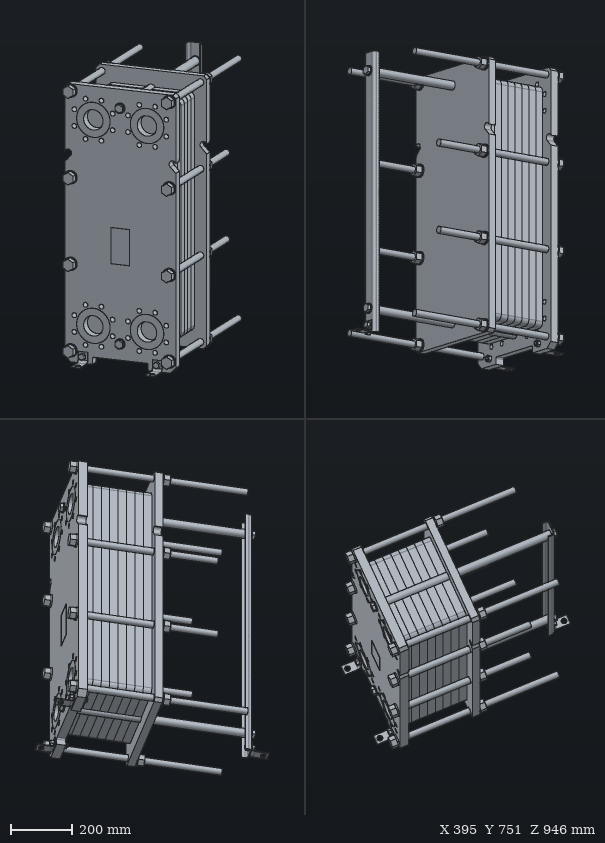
import cadquery as cq
import math

frame_thickness = 31.0
plate_count = 8
plate_thickness = 28.0
pack_front = frame_thickness
pack_back = pack_front + plate_count * plate_thickness
pressure_thickness = 27.0
pressure_back = pack_back + pressure_thickness
column_depth = 24.0
column_back = 629.0

overall_height = 946.0
end_plate_width = 395.0
half_width = end_plate_width / 2
pressure_bottom = 18.0
middle_z = (overall_height + pressure_bottom) / 2
top_chamfer = 11.0
frame_bottom_chamfer = 20.0

hook_z = 710.0
hook_radius = 12.0
hook_inset = 11.0

foot_gap_width = 197.0
foot_gap_height = 25.0
foot_gap_fillet = 5.0

port_x = 96.0
port_offset_z = 350.0
port_diameter = 69.0
port_ring_diameter = 119.0
ring_thickness = 1.0
stud_hole_count = 8
stud_circle_radius = 74.0
stud_hole_diameter = 16.0
nameplate_width = 66.0
nameplate_height = 123.0
nameplate_z = 411.5

bolt_x = 175.5
bolt_pitch_z = 294.0
bolt_rows = 4
bolt_diameter = 24.0
bolt_washer_diameter = 44.0
bolt_washer_thickness = 5.0
bolt_hex_flats = 37.0
bolt_head_height = 21.0
bolt_nut_height = 23.0
long_bolt_end = 575.0
short_bolt_end = 475.0

bar_diameter = 30.0
bar_spacing_z = 801.0
bar_washer_diameter = 34.0
bar_washer_thickness = 4.0
bar_hex_flats = 26.5
bar_head_height = 10.0

pack_width = 308.0
pack_height = 814.0
pack_corner_radius = 20.0

column_width = 55.0
column_wall = 4.0
column_outer_radius = 11.0

foot_x = 132.0
foot_width = 34.0
foot_height = 40.0
foot_length = 61.0
foot_sheet = 3.3
foot_bend_radius = 8.5
foot_tip_radius = 3.0
foot_hole_diameter = 18.0
foot_hole_reach = 43.5
foot_bolt_z = 25.0
foot_bolt_diameter = 12.0
foot_hex_flats = 20.0
foot_head_height = 10.0
foot_tail_length = 15.0


def cylinder(x, z, diameter, y_start, y_end):
    """Round bar along Y."""
    plane = cq.Workplane("XZ", origin=(x, y_start, z))
    return plane.circle(diameter / 2).extrude(y_start - y_end)


def hexagon(x, z, flats, y_start, y_end):
    """Hexagonal prism along Y with two corners pointing up and down."""
    corners = flats / math.cos(math.pi / 6)
    plane = cq.Workplane("XZ", origin=(x, y_start, z)).transformed(rotate=(0, 0, 90))
    return plane.polygon(6, corners).extrude(y_start - y_end)


def end_plate(bottom_z, bottom_chamfer, y_front, y_back):
    """Upright plate with chamfered corners and a hook notch in each side."""
    height = overall_height - bottom_z
    plate = (
        cq.Workplane("XY")
        .box(end_plate_width, y_back - y_front, height, centered=(True, False, False))
        .translate((0, y_front, bottom_z))
    )
    plate = plate.edges("|Y and >Z").chamfer(top_chamfer)
    plate = plate.edges("|Y and <Z").chamfer(bottom_chamfer)
    for side in (-1, 1):
        plate = plate.cut(hook_notch(side, y_front, y_back))
    return plate


def hook_notch(side, y_front, y_back):
    """Round notch in the side of a plate, with a 45 degree lower edge tangent to the round."""
    centre_x = half_width - hook_inset
    tangent_offset = hook_radius * math.sin(math.pi / 4)
    tangent_x = centre_x - tangent_offset
    tangent_z = hook_z - tangent_offset
    slope_end_z = tangent_z - (half_width - tangent_x)
    slope = (
        cq.Workplane("XZ", origin=(0, y_front, 0))
        .moveTo(side * centre_x, hook_z)
        .lineTo(side * tangent_x, tangent_z)
        .lineTo(side * half_width, slope_end_z)
        .lineTo(side * half_width, hook_z)
        .close()
        .extrude(y_front - y_back)
    )
    return slope.union(cylinder(side * centre_x, hook_z, 2 * hook_radius, y_front, y_back))


def bolt_positions():
    """(x, z, end) of every tie bolt; the top and bottom rows are long."""
    places = []
    for row in range(bolt_rows):
        z = middle_z + (row - (bolt_rows - 1) / 2) * bolt_pitch_z
        end = long_bolt_end if row in (0, bolt_rows - 1) else short_bolt_end
        places += [(-bolt_x, z, end), (bolt_x, z, end)]
    return places


def bar_heights():
    """Z of the guide bar and of the carrying bar."""
    return [middle_z - bar_spacing_z / 2, middle_z + bar_spacing_z / 2]


def tie_bolt(x, z, end):
    """Bolt with its head and washer in front and its nut and washer behind the pressure plate."""
    washer_front = -bolt_washer_thickness
    washer_back = pressure_back + bolt_washer_thickness
    bolt = cylinder(x, z, bolt_diameter, 0, end)
    bolt = bolt.union(cylinder(x, z, bolt_washer_diameter, washer_front, 0))
    bolt = bolt.union(hexagon(x, z, bolt_hex_flats, washer_front - bolt_head_height, washer_front))
    bolt = bolt.union(cylinder(x, z, bolt_washer_diameter, pressure_back, washer_back))
    return bolt.union(hexagon(x, z, bolt_hex_flats, washer_back, washer_back + bolt_nut_height))


def bar_with_screws(z):
    """Bar from the frame plate to the column, held by a screw and washer at each end."""
    washer_front = -bar_washer_thickness
    washer_back = column_back + bar_washer_thickness
    bar = cylinder(0, z, bar_diameter, 0, column_back)
    bar = bar.union(cylinder(0, z, bar_washer_diameter, washer_front, 0))
    bar = bar.union(hexagon(0, z, bar_hex_flats, washer_front - bar_head_height, washer_front))
    bar = bar.union(cylinder(0, z, bar_washer_diameter, column_back, washer_back))
    return bar.union(hexagon(0, z, bar_hex_flats, washer_back, washer_back + bar_head_height))


def ports():
    """(x, z) of the four ports."""
    return [(x, middle_z + dz) for x in (-port_x, port_x) for dz in (-port_offset_z, port_offset_z)]


def drilled_frame_plate():
    """Frame plate with its bottom gap, raised port rings, ports, stud holes and nameplate."""
    plate = end_plate(0, frame_bottom_chamfer, 0, frame_thickness)
    gap = (
        cq.Workplane("XY")
        .box(foot_gap_width, frame_thickness, foot_gap_height, centered=(True, False, False))
        .edges("|Y and >Z")
        .fillet(foot_gap_fillet)
    )
    plate = plate.cut(gap)
    for x, z in ports():
        plate = plate.union(cylinder(x, z, port_ring_diameter, -ring_thickness, 0))
        plate = plate.cut(cylinder(x, z, port_diameter, -ring_thickness, frame_thickness))
        for number in range(stud_hole_count):
            angle = 2 * math.pi * (number + 0.5) / stud_hole_count
            hole_x = x + stud_circle_radius * math.cos(angle)
            hole_z = z + stud_circle_radius * math.sin(angle)
            plate = plate.cut(cylinder(hole_x, hole_z, stud_hole_diameter, 0, frame_thickness))
    nameplate = (
        cq.Workplane("XY")
        .box(nameplate_width, ring_thickness, nameplate_height)
        .translate((0, -ring_thickness / 2, nameplate_z))
    )
    return plate.union(nameplate)


def column():
    """Upright channel, open towards the plates, with rounded corners."""
    inner_width = column_width - 2 * column_wall
    outer = (
        cq.Workplane("XY")
        .box(column_width, column_depth, overall_height, centered=(True, False, False))
        .edges("|Z and >Y")
        .fillet(column_outer_radius)
    )
    inner = (
        cq.Workplane("XY")
        .box(inner_width, column_depth - column_wall, overall_height, centered=(True, False, False))
        .edges("|Z and >Y")
        .fillet(column_outer_radius - column_wall)
    )
    return outer.cut(inner).translate((0, column_back - column_depth, 0))


def foot(wall_thickness):
    """Bent sheet foot against a wall whose face is Y = 0, reaching towards -Y, with its screw."""
    base = cq.Workplane("XY").box(foot_width, foot_length, foot_sheet, centered=(True, False, False))
    upright = cq.Workplane("XY").box(foot_width, foot_sheet, foot_height, centered=(True, False, False))
    bent = base.translate((0, -foot_length, 0)).union(upright.translate((0, -foot_sheet, 0)))
    bent = bent.edges(cq.NearestToPointSelector((0, -foot_sheet, foot_sheet))).fillet(foot_bend_radius)
    bent = bent.edges(cq.NearestToPointSelector((0, 0, 0))).fillet(foot_bend_radius + foot_sheet)
    bent = bent.edges(cq.NearestToPointSelector((0, -foot_length, foot_sheet))).fillet(foot_tip_radius)
    bent = bent.edges(cq.NearestToPointSelector((0, -foot_sheet, foot_height))).fillet(foot_tip_radius)
    hole = cq.Workplane("XY").center(0, -foot_hole_reach).circle(foot_hole_diameter / 2).extrude(foot_sheet)
    bent = bent.cut(hole)
    head_front = -foot_sheet - foot_head_height
    tail_end = wall_thickness + foot_tail_length
    bent = bent.union(hexagon(0, foot_bolt_z, foot_hex_flats, head_front, -foot_sheet))
    bent = bent.union(cylinder(0, foot_bolt_z, foot_bolt_diameter, -foot_sheet, tail_end))
    nut_end = wall_thickness + foot_head_height
    return bent.union(hexagon(0, foot_bolt_z, foot_hex_flats, wall_thickness, nut_end))


def frame():
    """Frame plate joined with its bars, column, tie bolts and feet."""
    body = drilled_frame_plate()
    for z in bar_heights():
        body = body.union(bar_with_screws(z))
    body = body.union(column())
    for x, z, end in bolt_positions():
        body = body.union(tie_bolt(x, z, end))
    for x in (-foot_x, foot_x):
        body = body.union(foot(frame_thickness).translate((x, 0, 0)))
    rear_foot = foot(column_wall).rotate((0, 0, 0), (0, 0, 1), 180)
    return body.union(rear_foot.translate((0, column_back, 0)))


def pressure_plate():
    """Plate that slides on the bars, with a hole for each bar and tie bolt."""
    plate = end_plate(pressure_bottom, top_chamfer, pack_back, pressure_back)
    for z in bar_heights():
        plate = plate.cut(cylinder(0, z, bar_diameter, pack_back, pressure_back))
    for x, z, _ in bolt_positions():
        plate = plate.cut(cylinder(x, z, bolt_diameter, pack_back, pressure_back))
    return plate


def channel_plate(index):
    """One plate of the pack, with round corners and a slot for each bar."""
    y_front = pack_front + index * plate_thickness
    y_back = y_front + plate_thickness
    plate = (
        cq.Workplane("XY")
        .box(pack_width, plate_thickness, pack_height)
        .edges("|Y")
        .fillet(pack_corner_radius)
        .translate((0, (y_front + y_back) / 2, middle_z))
    )
    for z in bar_heights():
        plate = plate.cut(cylinder(0, z, bar_diameter, y_front, y_back))
    return plate


channel_plates = [channel_plate(index).val() for index in range(plate_count)]
result = cq.Compound.makeCompound([frame().val(), pressure_plate().val(), *channel_plates])